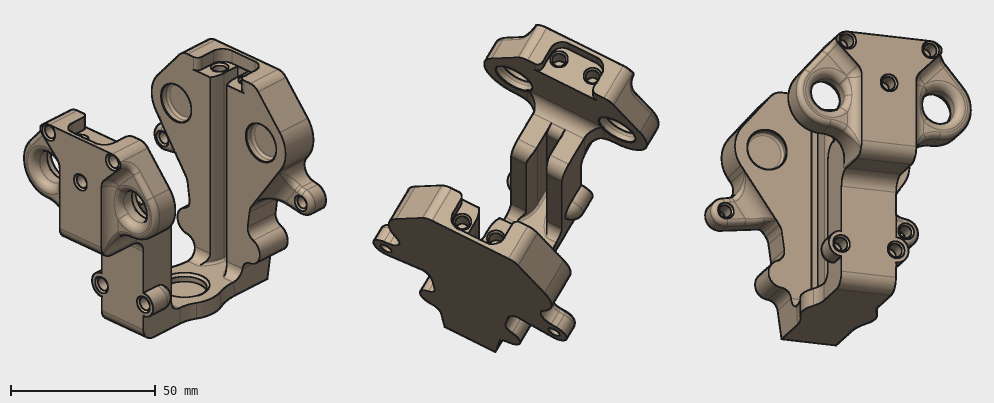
import cadquery as cq
import math

height = 85.0
plate = 14.0
back_y = 31.0
back_face_y = back_y - plate
front_y = -52.0
head_face_y = front_y + plate
column_back_y = -17.0
column_front_y = column_back_y - plate
shelf_top = 55.0
shelf_bottom = shelf_top - plate
floor_top = 6.3
column_half = 10.0
bend_radius = 5.0
floor_radius = 4.0

disc_radius = 13.3
disc_pocket_diameter = 15.4
disc_pocket_depth = 3.0
disc_pocket_chamfer = 1.0
front_waist_radius = 13.5
back_waist_radius = 20.0

ear_x = 20.25
ear_z = 63.5
ear_radius = 11.75
top_corner_x = 17.3
top_corner_radius = 5.0

neck_x = 15.0
neck_z = 35.5
neck_radius = 6.0
lobe_x = 14.7
lobe_z = 18.8
lobe_radius = 5.0
lobe_upper_radius = 4.0
lobe_lower_radius = 4.0
seat_diameter = 14.2
seat_depth = 3.2
seat_floor_radius = 0.9
seat_chamfer = 0.2

lug_x = 33.0
lug_z = 41.9
lug_radius = 5.0
lug_thickness = 7.5
lug_face_y = back_y - lug_thickness
lug_hole_diameter = 4.4
lug_hole_chamfer = 0.7
lug_lower_angle = 8.5
lug_upper_angle = 11.0
lug_upper_radius = 5.0
lug_lower_radius = 2.0
lug_edge_radius = 2.0
cove_start = 2.0

web_radius = 9.8
ear_step = 4.0
ear_face_y = front_y + ear_step
ear_bore_diameter = 12.0
ear_bore_rounding = 3.0
ear_edge_radius = 2.0
pad_bend_z = 71.8
pad_corner_radius = 5.0

screw_diameter = 4.8
screw_depth = 7.0
screw_chamfer = 0.7
upper_screw_x = 15.2
upper_screw_z = 81.8
centre_screw_z = 68.0
boss_z = 15.0
boss_radius = 4.6
boss_length = 7.0

recess_depth = 5.0
recess_length = 12.35
recess_half = 10.0
recess_corner_radius = 4.5
recess_mouth_radius = 2.0
recess_screw_x = 6.6
recess_screw_inset = 7.45

channel_half = 2.65
channel_length = 12.25
channel_flare_radius = 11.5
channel_flare_length = 9.4
channel_edge_radius = 0.95
channel_exit_radius = 3.5

reach = 100.0
margin = 1.2
cos_45 = math.sqrt(0.5)


def xz_plane(y):
    """Workplane with local axes X and Z whose extrusions run toward -Y."""
    return cq.Workplane("XZ", origin=(0, y, 0))


def slab(outline, y_back, y_front):
    """Extrude an outline function between two Y values."""
    return outline(xz_plane(y_back)).extrude(y_back - y_front)


def both_sides(solid):
    return solid.union(solid.mirror("YZ"))


def fillet_y_edges(body, x, z, radius):
    """Round the edges along Y found near (x, z) and near (-x, z)."""
    for side in (-1, 1):
        low = (side * x - margin, -reach, z - margin)
        high = (side * x + margin, reach, z + margin)
        body = body.edges("|Y").edges(cq.selectors.BoxSelector(low, high)).fillet(radius)
    return body


def fillet_edge_at(body, point, radius):
    """Round the edge whose centre lies nearest to the point."""
    return body.edges(cq.selectors.NearestToPointSelector(point)).fillet(radius)


def ear_tangent(x, z, side):
    """Point where the line from (x, z) touches the ear circle."""
    distance = math.hypot(x - ear_x, z - ear_z)
    angle = math.atan2(z - ear_z, x - ear_x) + side * math.acos(ear_radius / distance)
    return ear_x + ear_radius * math.cos(angle), ear_z + ear_radius * math.sin(angle)


ear_upper = ear_tangent(top_corner_x, height, -1)
ear_lower = ear_tangent(neck_x, neck_z, 1)
ear_outermost = (ear_x + ear_radius, ear_z)


def back_outline(plane):
    half = (
        plane.moveTo(0, 0)
        .lineTo(column_half, 0)
        .lineTo(neck_x, neck_z)
        .lineTo(*ear_lower)
        .threePointArc(ear_outermost, ear_upper)
        .lineTo(top_corner_x, height)
        .lineTo(0, height)
    )
    return half.mirrorY()


def head_outline(plane):
    """Ears with a concave round stretch that runs down into the shelf sides."""
    web_x = column_half + web_radius
    web_z = ear_z - math.sqrt((ear_radius + web_radius) ** 2 - (ear_x - web_x) ** 2)
    share = ear_radius / (ear_radius + web_radius)
    touch = (ear_x + share * (web_x - ear_x), ear_z + share * (web_z - ear_z))
    diagonal = web_radius * cos_45
    half = (
        plane.moveTo(0, shelf_bottom)
        .lineTo(column_half, shelf_bottom)
        .lineTo(column_half, web_z)
        .threePointArc((web_x - diagonal, web_z + diagonal), touch)
        .threePointArc(ear_outermost, ear_upper)
        .lineTo(top_corner_x, height)
        .lineTo(0, height)
    )
    return half.mirrorY()


def neck_outline(plane):
    points = [(-column_half, 0), (column_half, 0), (neck_x, neck_z), (-neck_x, neck_z)]
    return plane.polyline(points).close()


def screw_hole(x, y, z, direction):
    """Blind hole with a chamfered mouth, drilled along the given direction."""
    radius = screw_diameter / 2
    tool = cq.Solid.makeCylinder(radius, screw_depth, cq.Vector(x, y, z), cq.Vector(direction))
    mouth = cq.Solid.makeCone(
        radius + screw_chamfer, radius, screw_chamfer, cq.Vector(x, y, z), cq.Vector(direction)
    )
    return cq.Workplane(tool).union(cq.Workplane(mouth))


def make_floor(front_limit, back_limit):
    """Pivot disc blended into the straight front waist and the tapered back waist."""
    layer = cq.Workplane("XY").box(reach, 2 * back_face_y, floor_top, centered=(True, True, False))
    floor = front_limit.union(back_limit).intersect(layer)
    floor = floor.union(cq.Workplane("XY").circle(disc_radius).extrude(floor_top))
    waist_y = math.sqrt(disc_radius ** 2 - column_half ** 2)
    for y, radius in ((-waist_y, front_waist_radius), (waist_y, back_waist_radius)):
        low = (-disc_radius, y - margin, margin)
        high = (disc_radius, y + margin, floor_top - margin)
        floor = floor.edges(cq.selectors.BoxSelector(low, high)).fillet(radius)
    return floor


def make_frame():
    """Floor, column and shelf with the tapered foot of the back plate."""
    profile = (
        cq.Workplane("YZ", origin=(-reach / 2, 0, 0))
        .polyline([
            (back_y, 0), (back_y, neck_z), (back_face_y, neck_z), (back_face_y, floor_top),
            (column_back_y, floor_top), (column_back_y, shelf_top), (head_face_y, shelf_top),
            (head_face_y, shelf_bottom), (column_front_y, shelf_bottom), (column_front_y, 0),
        ])
        .close()
        .extrude(reach)
    )

    def round_bend(body, y, z, radius):
        low = (-reach, y - margin, z - margin)
        high = (reach, y + margin, z + margin)
        return body.edges("|X").edges(cq.selectors.BoxSelector(low, high)).fillet(radius)

    profile = round_bend(profile, back_face_y, floor_top, floor_radius)
    profile = round_bend(profile, column_back_y, floor_top, floor_radius)
    profile = round_bend(profile, column_back_y, shelf_top, bend_radius)
    profile = round_bend(profile, column_front_y, shelf_bottom, bend_radius)
    profile = round_bend(profile, column_front_y, 0, bend_radius)

    front_limit = cq.Workplane("XY").box(2 * column_half, reach, reach, centered=(True, False, False))
    front_limit = front_limit.translate((0, -reach, 0))
    back_limit = slab(neck_outline, back_y, 0)
    frame = profile.intersect(front_limit.union(back_limit))
    return frame.union(make_floor(front_limit, back_limit))


def crossing(point_a, point_b, angle, point_c):
    """Meeting point of line A-B and the line through C at the given angle in degrees."""
    run_x = math.cos(math.radians(angle))
    run_z = math.sin(math.radians(angle))
    ab_x = point_b[0] - point_a[0]
    ab_z = point_b[1] - point_a[1]
    offset = (point_c[0] - point_a[0]) * run_z - (point_c[1] - point_a[1]) * run_x
    share = offset / (ab_x * run_z - ab_z * run_x)
    return point_a[0] + share * ab_x, point_a[1] + share * ab_z


def lug_point(angle):
    turn = math.radians(angle)
    return lug_x + lug_radius * math.cos(turn), lug_z + lug_radius * math.sin(turn)


lug_upper_end = lug_point(90 - lug_upper_angle)
lug_lower_end = lug_point(-90 - lug_lower_angle)
lug_upper_root = crossing((neck_x, neck_z), ear_lower, -lug_upper_angle, lug_upper_end)
lug_lower_root = crossing((neck_x, neck_z), ear_lower, -lug_lower_angle, lug_lower_end)


def make_lug():
    """Right-hand lug at full plate thickness."""

    def outline(plane):
        return (
            plane.moveTo(0, lug_z)
            .lineTo(*lug_lower_root)
            .lineTo(*lug_lower_end)
            .threePointArc((lug_x + lug_radius, lug_z), lug_upper_end)
            .lineTo(*lug_upper_root)
            .close()
        )

    return slab(outline, back_y, back_face_y)


def lobe_root(side):
    """Where the lobe circle leaves the tapered edge of the neck, above (1) or below (-1) it."""
    taper = math.atan2(neck_z, neck_x - column_half)
    to_lobe = math.atan2(lobe_z, lobe_x - column_half)
    distance = math.hypot(lobe_x - column_half, lobe_z)
    gap = distance * math.sin(taper - to_lobe)
    along = distance * math.cos(taper - to_lobe) + side * math.sqrt(lobe_radius ** 2 - gap ** 2)
    return column_half + along * math.cos(taper), along * math.sin(taper)


def make_cove_cutter():
    """Tool that thins the right-hand lug and leaves a quarter-round cove at the plate."""
    run = (ear_lower[0] - neck_x, ear_lower[1] - neck_z)
    length = math.hypot(*run)
    outward = (run[1] / length, 0, -run[0] / length)
    depth = plate - lug_thickness
    start = (neck_x + cove_start * run[0] / length, back_face_y, neck_z + cove_start * run[1] / length)
    plane = cq.Plane(origin=start, xDir=outward, normal=(run[0], 0, run[1]))
    middle = depth * (1 - cos_45)
    return (
        cq.Workplane(plane)
        .moveTo(0, 0)
        .threePointArc((middle, (depth - middle)), (depth, depth))
        .lineTo(reach, depth)
        .lineTo(reach, 0)
        .close()
        .extrude(length)
    )


def make_back_plate():
    body = slab(back_outline, back_y, back_face_y)
    lobe = xz_plane(back_y).center(lobe_x, lobe_z).circle(lobe_radius).extrude(plate)
    body = body.union(both_sides(lobe)).union(both_sides(make_lug()))
    body = fillet_y_edges(body, top_corner_x, height, top_corner_radius)
    body = fillet_y_edges(body, neck_x, neck_z, neck_radius)
    body = fillet_y_edges(body, *lug_upper_root, lug_upper_radius)
    body = fillet_y_edges(body, *lug_lower_root, lug_lower_radius)
    body = fillet_y_edges(body, *lobe_root(1), lobe_upper_radius)
    body = fillet_y_edges(body, *lobe_root(-1), lobe_lower_radius)
    body = body.cut(both_sides(make_cove_cutter()))
    for side in (-1, 1):
        body = fillet_edge_at(body, (side * (lug_x + lug_radius), lug_face_y, lug_z), lug_edge_radius)
    return body


def make_lug_hole(side):
    """Through hole of a lug, chamfered on the side of the rounded rim."""
    radius = lug_hole_diameter / 2
    mouth = cq.Vector(side * lug_x, lug_face_y, lug_z)
    along = cq.Vector(0, 1, 0)
    hole = cq.Solid.makeCylinder(radius, lug_thickness, mouth, along)
    rim = cq.Solid.makeCone(radius + lug_hole_chamfer, radius, lug_hole_chamfer, mouth, along)
    return cq.Workplane(hole).union(cq.Workplane(rim))


def make_pocket_cutter():
    """Tool that sets the right-hand ear back and leaves a cove beside the raised pad."""
    tool = (
        xz_plane(ear_face_y)
        .moveTo(column_half, 0)
        .lineTo(column_half, pad_bend_z)
        .lineTo(column_half + reach, pad_bend_z + reach)
        .lineTo(column_half + reach, 0)
        .close()
        .extrude(reach)
    )
    tool = fillet_edge_at(tool, (column_half, ear_face_y - reach / 2, pad_bend_z), pad_corner_radius)
    return fillet_edge_at(tool, (column_half, ear_face_y, pad_bend_z / 2), ear_step)


def make_head():
    tee = cq.Workplane("XY").box(reach, plate, height, centered=(True, False, False))
    tee = tee.translate((0, front_y, 0))
    stem_length = 2 * bend_radius
    stem = cq.Workplane("XY").box(2 * column_half, stem_length, shelf_top, centered=(True, False, False))
    tee = tee.union(stem.translate((0, head_face_y, 0)))
    low = (-column_half - margin, head_face_y - margin, margin)
    high = (column_half + margin, head_face_y + margin, shelf_top + margin)
    tee = tee.edges(cq.selectors.BoxSelector(low, high)).fillet(bend_radius)

    outline = slab(head_outline, head_face_y + bend_radius, front_y)
    outline = fillet_y_edges(outline, top_corner_x, height, top_corner_radius)
    outline = outline.edges("|X and <Z and <Y").fillet(bend_radius)
    head = outline.intersect(tee)
    head = head.cut(both_sides(make_pocket_cutter()))
    for side in (-1, 1):
        head = fillet_edge_at(head, (side * ear_outermost[0], ear_face_y, ear_z), ear_edge_radius)
    for side in (-1, 1):
        bore = xz_plane(head_face_y).center(side * ear_x, ear_z).circle(ear_bore_diameter / 2)
        head = head.cut(bore.extrude(plate))
        head = fillet_edge_at(head, (side * ear_x, ear_face_y, ear_z), ear_bore_rounding)
    return head


def make_screw_boss(side):
    """Round-ended boss on the side of the column."""
    x = side * column_half
    round_y = column_front_y + boss_length
    mid = boss_radius * cos_45
    profile = (
        cq.Workplane("XY")
        .moveTo(0, column_front_y)
        .lineTo(boss_radius, column_front_y)
        .lineTo(boss_radius, round_y)
        .threePointArc((mid, round_y + mid), (0, round_y + boss_radius))
        .close()
    )
    boss = profile.revolve(360, (0, 0, 0), (0, 1, 0))
    return boss.translate((x, 0, boss_z))


def make_recess(face_y, into):
    """Recess in the top of a plate, open to the inside through a flared mouth."""
    floor_z = height - recess_depth
    wall_y = face_y + into * recess_length
    corner_y = wall_y - into * recess_corner_radius
    corner_x = recess_half - recess_corner_radius
    arc = recess_corner_radius * cos_45
    mouth = recess_mouth_radius
    mouth_mid = mouth * (1 - cos_45)
    return (
        cq.Workplane("XY", origin=(0, 0, floor_z))
        .moveTo(0, wall_y)
        .lineTo(corner_x, wall_y)
        .threePointArc((corner_x + arc, corner_y + into * arc), (recess_half, corner_y))
        .lineTo(recess_half, face_y + into * mouth)
        .threePointArc(
            (recess_half + mouth_mid, face_y + into * mouth_mid), (recess_half + mouth, face_y)
        )
        .lineTo(0, face_y)
        .mirrorY()
        .extrude(reach)
    )


def make_channel(face_y, into, top):
    """Upright channel whose walls flare out toward the open side of the frame."""
    end_y = face_y + into * channel_length
    flare_y = face_y - into * floor_radius
    straight_y = flare_y + into * channel_flare_length
    angle = math.asin(channel_flare_length / channel_flare_radius)
    half_y = straight_y - into * channel_flare_radius * math.sin(angle / 2)
    half_x = channel_half + channel_flare_radius * (1 - math.cos(angle / 2))
    open_edge = "<Y" if into > 0 else ">Y"
    wide_x = channel_half + channel_flare_radius * (1 - math.cos(angle))
    return (
        cq.Workplane("XY", origin=(0, 0, floor_top))
        .moveTo(0, end_y)
        .lineTo(channel_half, end_y)
        .lineTo(channel_half, straight_y)
        .threePointArc((half_x, half_y), (wide_x, flare_y))
        .lineTo(0, flare_y)
        .mirrorY()
        .extrude(top - floor_top)
        .faces("<Z").edges("not " + open_edge).fillet(channel_edge_radius)
    )


def make_channel_exit():
    """Rounded run-out of the front channel onto the top of the shelf."""
    end_y = column_back_y - channel_length
    middle = channel_exit_radius * (1 - cos_45)
    return (
        cq.Workplane("YZ", origin=(-channel_half, 0, 0))
        .moveTo(end_y, shelf_top - channel_exit_radius)
        .threePointArc(
            (end_y - middle, shelf_top - middle), (end_y - channel_exit_radius, shelf_top)
        )
        .lineTo(end_y, shelf_top)
        .close()
        .extrude(2 * channel_half)
    )


def make_seat(side, face_y, into):
    """Bearing seat with a rounded floor edge and a fine chamfer at its mouth."""
    radius = seat_diameter / 2
    floor_y = face_y + into * seat_depth
    round_y = floor_y - into * seat_floor_radius
    round_x = radius - seat_floor_radius
    arc = seat_floor_radius * cos_45
    profile = (
        cq.Workplane("XY")
        .moveTo(0, floor_y)
        .lineTo(round_x, floor_y)
        .threePointArc((round_x + arc, round_y + into * arc), (radius, round_y))
        .lineTo(radius, face_y + into * seat_chamfer)
        .lineTo(radius + seat_chamfer, face_y)
        .lineTo(0, face_y)
        .close()
    )
    return profile.revolve(360, (0, 0, 0), (0, 1, 0)).translate((side * ear_x, 0, ear_z))


def make_disc_pocket():
    radius = disc_pocket_diameter / 2
    pocket = cq.Workplane("XY", origin=(0, 0, floor_top - disc_pocket_depth)).circle(radius)
    pocket = pocket.extrude(disc_pocket_depth)
    rim = cq.Solid.makeCone(
        radius, radius + disc_pocket_chamfer, disc_pocket_chamfer,
        cq.Vector(0, 0, floor_top - disc_pocket_chamfer),
    )
    return pocket.union(cq.Workplane(rim))


result = make_frame().union(make_back_plate()).union(make_head())

for side in (-1, 1):
    result = result.union(make_screw_boss(side))

result = result.cut(make_recess(back_face_y, 1))
result = result.cut(make_recess(head_face_y, -1))
result = result.cut(make_channel(back_face_y, 1, height))
result = result.cut(make_channel(column_back_y, -1, shelf_top))
result = result.cut(make_channel_exit())
result = result.cut(make_disc_pocket())
result = result.cut(screw_hole(0, front_y, centre_screw_z, (0, 1, 0)))

for side in (-1, 1):
    result = result.cut(make_seat(side, back_face_y, 1))
    result = result.cut(make_seat(side, head_face_y, -1))
    result = result.cut(make_lug_hole(side))
    result = result.cut(screw_hole(side * upper_screw_x, front_y, upper_screw_z, (0, 1, 0)))
    result = result.cut(screw_hole(side * column_half, column_front_y, boss_z, (0, 1, 0)))
    for y in (back_face_y + recess_screw_inset, head_face_y - recess_screw_inset):
        result = result.cut(screw_hole(side * recess_screw_x, y, height - recess_depth, (0, 0, -1)))